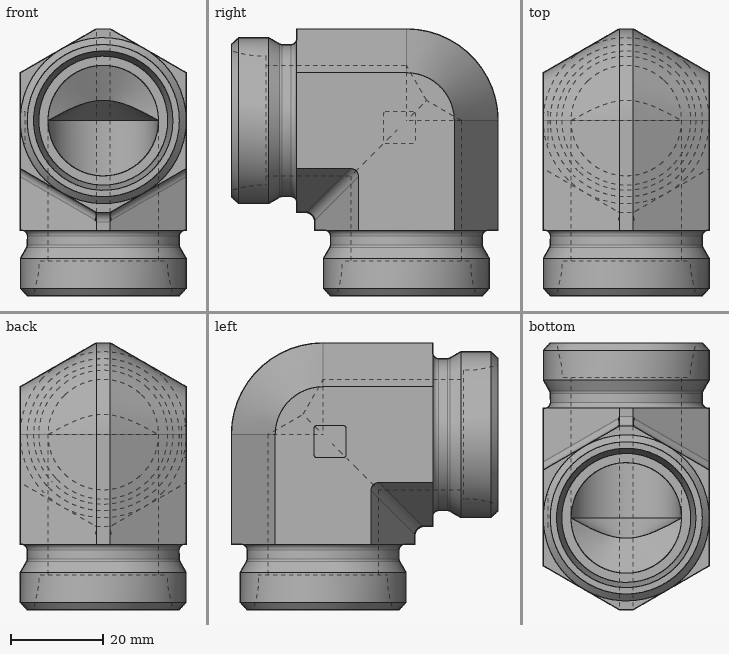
import cadquery as cq
import math


across_flats = 36.0
half_flats = across_flats / 2
crest_height = 19.9
body_length = 23.8
crotch_radius = 2.0

end_length = 38.0
thread_radius = across_flats / 2
neck_radius = 33 / 2
neck_fillet = 1.3
neck_end = 27.3
thread_start = 29.9
neck_blend = 1.0
tip_chamfer_length = 1.6

bore_radius = 24.0 / 2
drill_half_angle = 60
socket_radius = 28.0 / 2
socket_depth = 7.55
mouth_radius = 15.1
cone_half_angle = 12

recess_size = 7.0
recess_corner = 0.7
recess_depth = 1.0
recess_offset = -1.5

select_margin = 0.05

flat_half_height = half_flats * math.tan(math.radians(30))
corner_height = half_flats / math.cos(math.radians(30))
crest_half_width = (corner_height - crest_height) * math.tan(math.radians(60))


def turn_to_lower_arm(shape):
    """Turn a shape from the -Y arm onto the -Z arm."""
    return shape.rotate((0, 0, 0), (1, 0, 0), 90)


def hexagon_arm():
    upper_right = [
        (half_flats, flat_half_height),
        (crest_half_width, crest_height),
    ]
    upper_left = [(-x, z) for x, z in reversed(upper_right)]
    lower = [(-x, -z) for x, z in upper_right + upper_left]
    outline = upper_right + upper_left + lower
    return cq.Workplane("XZ").polyline(outline).close().extrude(body_length)


def outer_bend():
    """Upper half of the hexagon swept a quarter turn about the X axis."""
    return (
        cq.Workplane("XZ")
        .moveTo(-half_flats, 0)
        .lineTo(-half_flats, flat_half_height)
        .lineTo(-crest_half_width, crest_height)
        .lineTo(crest_half_width, crest_height)
        .lineTo(half_flats, flat_half_height)
        .lineTo(half_flats, 0)
        .close()
        .revolve(90, (0, 0), (-1, 0))
    )


def body():
    arm = hexagon_arm()
    solid = arm.union(turn_to_lower_arm(arm)).union(outer_bend())
    crotch_outer = -crest_height - select_margin
    crotch_inner = -flat_half_height - select_margin
    crotch = cq.selectors.BoxSelector(
        (-half_flats, crotch_outer, crotch_outer),
        (half_flats, crotch_inner, crotch_inner),
    )
    return solid.edges(crotch).fillet(crotch_radius)


def threaded_end():
    """Turned end of the -Y arm, drawn as radius against -Y."""
    arc_inset = neck_fillet * (1 - math.sqrt(0.5))
    chamfer_start = end_length - tip_chamfer_length
    profile = (
        cq.Workplane("XY")
        .moveTo(0, -body_length)
        .lineTo(neck_radius + neck_fillet, -body_length)
        .threePointArc(
            (neck_radius + arc_inset, -body_length - arc_inset),
            (neck_radius, -body_length - neck_fillet),
        )
        .lineTo(neck_radius, -neck_end)
        .lineTo(thread_radius, -thread_start)
        .lineTo(thread_radius, -chamfer_start)
        .lineTo(neck_radius, -end_length)
        .lineTo(0, -end_length)
        .close()
    )
    turned = profile.revolve(360, (0, 0), (0, 1))
    neck_corner = cq.selectors.BoxSelector(
        (-thread_radius, -neck_end - select_margin, -thread_radius),
        (thread_radius, -neck_end + select_margin, thread_radius),
    )
    return turned.edges(neck_corner).fillet(neck_blend)


def arm_bore():
    """Drilled bore of the -Y arm with pointed bottom, socket and sealing cone."""
    drill_point = bore_radius / math.tan(math.radians(drill_half_angle))
    cone_depth = (mouth_radius - socket_radius) / math.tan(math.radians(cone_half_angle))
    outline = [
        (0, drill_point),
        (bore_radius, 0),
        (bore_radius, socket_depth - end_length),
        (socket_radius, socket_depth - end_length),
        (socket_radius, cone_depth - end_length),
        (mouth_radius, -end_length),
        (0, -end_length),
    ]
    return cq.Workplane("XY").polyline(outline).close().revolve(360, (0, 0), (0, 1))


def side_recess():
    return (
        cq.Workplane("YZ", origin=(-half_flats, recess_offset, recess_offset))
        .rect(recess_size, recess_size)
        .extrude(recess_depth)
        .edges("|X")
        .fillet(recess_corner)
    )


end = threaded_end()
bore = arm_bore()
result = (
    body()
    .union(end)
    .union(turn_to_lower_arm(end))
    .cut(bore)
    .cut(turn_to_lower_arm(bore))
    .cut(side_recess())
)